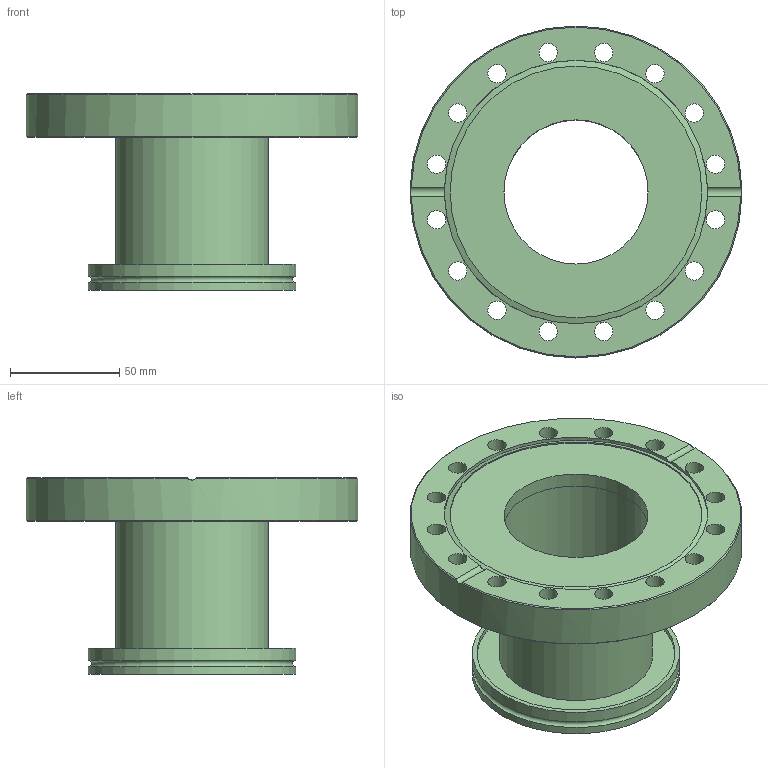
import cadquery as cq
import math

overall_height = 90.0
tube_outer_diameter = 70.0
bore_diameter = 66.0

bolted_diameter = 152.0
bolted_thickness = 20.0
rim_chamfer = 0.5
gasket_recess_diameter = 120.6
knife_tip_diameter = 115.3
knife_tip_depth = 0.65
knife_slope_angle = 20.0
inner_face_depth = 1.3
socket_depth = 12.0
bolt_circle_diameter = 130.3
bolt_hole_diameter = 8.4
bolt_hole_count = 16
leak_groove_radius = 2.5
leak_groove_depth = 1.1

clamp_diameter = 95.0
clamp_thickness = 12.0
clamp_recess_diameter = 91.0
clamp_recess_depth = 2.2
clamp_groove_radius = 1.5
clamp_groove_height = 5.0

bolted_bottom = overall_height - bolted_thickness
tube_top = bolted_bottom + socket_depth
knife_width = (gasket_recess_diameter - knife_tip_diameter) / 2
knife_root_depth = knife_tip_depth + knife_width * math.tan(math.radians(knife_slope_angle))


def revolve_about_z(profile):
    """Revolve an XZ profile (X = radius) a full turn about the Z axis."""
    return profile.close().revolve(360, (0, 0, 0), (0, 1, 0))


def make_bolted_flange():
    """Top flange: rim chamfers, gasket recess with knife edge, bore and tube socket."""
    rim_radius = bolted_diameter / 2
    recess_radius = gasket_recess_diameter / 2
    tip_radius = knife_tip_diameter / 2
    bore_radius = bore_diameter / 2
    socket_radius = tube_outer_diameter / 2
    flange = revolve_about_z(
        cq.Workplane("XZ")
        .moveTo(socket_radius, bolted_bottom)
        .lineTo(rim_radius - rim_chamfer, bolted_bottom)
        .lineTo(rim_radius, bolted_bottom + rim_chamfer)
        .lineTo(rim_radius, overall_height - rim_chamfer)
        .lineTo(rim_radius - rim_chamfer, overall_height)
        .lineTo(recess_radius, overall_height)
        .lineTo(recess_radius, overall_height - knife_root_depth)
        .lineTo(tip_radius, overall_height - knife_tip_depth)
        .lineTo(tip_radius, overall_height - inner_face_depth)
        .lineTo(bore_radius, overall_height - inner_face_depth)
        .lineTo(bore_radius, tube_top)
        .lineTo(socket_radius, tube_top)
    )

    bolt_holes = (
        cq.Workplane("XY", origin=(0, 0, bolted_bottom))
        .polarArray(bolt_circle_diameter / 2, 180 / bolt_hole_count, 360, bolt_hole_count)
        .circle(bolt_hole_diameter / 2)
        .extrude(bolted_thickness)
    )
    flange = flange.cut(bolt_holes)

    groove_axis_height = overall_height - leak_groove_depth + leak_groove_radius
    groove_start = tip_radius + knife_width / 2
    for direction in (1, -1):
        leak_groove = (
            cq.Workplane("YZ", origin=(direction * groove_start, 0, groove_axis_height))
            .circle(leak_groove_radius)
            .extrude(direction * rim_radius)
        )
        flange = flange.cut(leak_groove)
    return flange


def make_tube():
    """Plain tube from the clamp flange face up into the bolted flange socket."""
    return (
        cq.Workplane("XY")
        .circle(tube_outer_diameter / 2)
        .circle(bore_diameter / 2)
        .extrude(tube_top)
    )


def make_clamp_flange():
    """Bottom flange: tube hole, shallow recess in the upper face, round groove in the rim."""
    rim_radius = clamp_diameter / 2
    recess_radius = clamp_recess_diameter / 2
    hole_radius = tube_outer_diameter / 2
    recess_floor = clamp_thickness - clamp_recess_depth
    return revolve_about_z(
        cq.Workplane("XZ")
        .moveTo(hole_radius, 0)
        .lineTo(rim_radius, 0)
        .lineTo(rim_radius, clamp_groove_height - clamp_groove_radius)
        .threePointArc(
            (rim_radius - clamp_groove_radius, clamp_groove_height),
            (rim_radius, clamp_groove_height + clamp_groove_radius),
        )
        .lineTo(rim_radius, clamp_thickness)
        .lineTo(recess_radius, clamp_thickness)
        .lineTo(recess_radius, recess_floor)
        .lineTo(hole_radius, recess_floor)
    )


bolted_flange = make_bolted_flange()
tube = make_tube()
clamp_flange = make_clamp_flange()

result = cq.Compound.makeCompound([bolted_flange.val(), tube.val(), clamp_flange.val()])